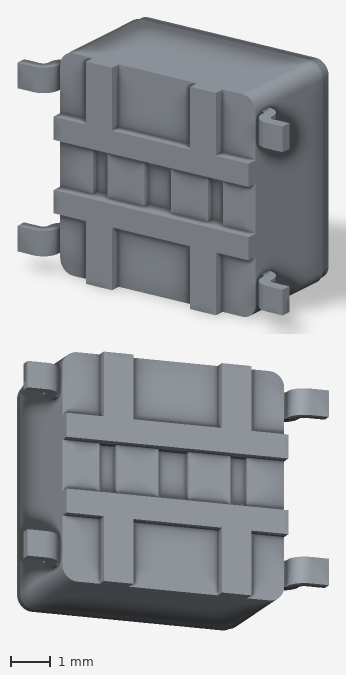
import cadquery as cq
import math


HOUSING_SIZE = 6.0
HOUSING_DEPTH = 3.0
CORNER_RADIUS = 0.4
COVER_INSET = 0.03
COVER_THICKNESS = 0.3

BUTTON_BASE_RADIUS = 1.75
BUTTON_TOP_RADIUS = 1.695
BUTTON_HEIGHT = 1.4
BUTTON_FILLET = 0.2
RIVET_RADIUS = 0.5
RIVET_OFFSET = 2.25

FOOT_HEIGHT = 0.3
BAR_INNER_Z = 0.68
BAR_OUTER_Z = 1.3
FOOT_INNER_X = 1.2
FOOT_OUTER_X = 2.0
POCKET_DEPTH = 0.2
POCKET_CENTER_HALF_WIDTH = 0.41
POCKET_SIDE_INNER_X = 1.54

LEAD_SPAN = 8.15
LEAD_WIDTH = 0.69
LEAD_THICKNESS = 0.3
LEAD_FLAT = 0.5
LEAD_INNER_RADIUS = 0.15
LEAD_RISE = 0.945
LEAD_Z = 2.2
LEAD_DROP = 0.05
LEAD_ROOT = 0.16

HALF_SIZE = HOUSING_SIZE / 2
COVER_FACE_Y = HOUSING_DEPTH + COVER_THICKNESS
SIDES = (-1, 1)
CORNERS = [(sx, sz) for sx in SIDES for sz in SIDES]


def block(x_range, y_range, z_range):
    """Box spanning the given (low, high) range on each axis."""
    ranges = (x_range, y_range, z_range)
    lengths = [high - low for low, high in ranges]
    corner = tuple(low for low, high in ranges)
    return cq.Workplane("XY").box(*lengths, centered=False).translate(corner)


def rounded_plate(size, y_start, thickness):
    """Square plate with rounded corners, growing along +Y."""
    plate = cq.Workplane("XY").box(size, thickness, size, centered=(True, False, True))
    return plate.edges("|Y").fillet(CORNER_RADIUS).translate((0, y_start, 0))


def button():
    """Tapered round button with a rounded top edge."""
    taper = math.degrees(math.atan((BUTTON_BASE_RADIUS - BUTTON_TOP_RADIUS) / BUTTON_HEIGHT))
    cone = cq.Workplane("XY").circle(BUTTON_BASE_RADIUS).extrude(BUTTON_HEIGHT, taper=taper)
    rounded = cone.faces(">Z").edges().fillet(BUTTON_FILLET)
    return rounded.rotate((0, 0, 0), (1, 0, 0), -90).translate((0, COVER_FACE_Y, 0))


def rivet(side_x, side_z):
    """Round rivet head; its inner half is buried in the cover."""
    center = (side_x * RIVET_OFFSET, COVER_FACE_Y, side_z * RIVET_OFFSET)
    return cq.Workplane("XY").sphere(RIVET_RADIUS).translate(center)


def bar(side_z):
    """Raised bar across the full width of the back face."""
    z_range = sorted((side_z * BAR_INNER_Z, side_z * BAR_OUTER_Z))
    return block((-HALF_SIZE, HALF_SIZE), (-FOOT_HEIGHT, 0), z_range)


def foot(side_x, side_z):
    """Raised foot running from a bar to the upper or lower edge."""
    x_range = sorted((side_x * FOOT_INNER_X, side_x * FOOT_OUTER_X))
    z_range = sorted((side_z * BAR_INNER_Z, side_z * HALF_SIZE))
    return block(x_range, (-FOOT_HEIGHT, 0), z_range)


def pocket(x_start, x_end):
    """Rectangular pocket between the two bars."""
    return block(sorted((x_start, x_end)), (0, POCKET_DEPTH), (-BAR_INNER_Z, BAR_INNER_Z))


def lead(side_z):
    """S-bent flat lead on the +X side, from its outer tip into the housing."""
    inner = LEAD_INNER_RADIUS
    outer = inner + LEAD_THICKNESS
    tip_x = LEAD_SPAN / 2
    lower_x = tip_x - LEAD_FLAT
    upper_x = lower_x - inner - outer
    root_x = HALF_SIZE - LEAD_ROOT
    bottom_y = -FOOT_HEIGHT - LEAD_DROP
    top_y = bottom_y + LEAD_RISE
    lower_y = bottom_y + outer
    upper_y = top_y - outer
    diagonal = math.sqrt(0.5)
    profile = (
        cq.Workplane("XY")
        .moveTo(tip_x, bottom_y)
        .lineTo(lower_x, bottom_y)
        .threePointArc(
            (lower_x - outer * diagonal, lower_y - outer * diagonal),
            (lower_x - outer, lower_y),
        )
        .lineTo(upper_x + inner, upper_y)
        .threePointArc(
            (upper_x + inner * diagonal, upper_y + inner * diagonal),
            (upper_x, upper_y + inner),
        )
        .lineTo(root_x, upper_y + inner)
        .lineTo(root_x, top_y)
        .lineTo(upper_x, top_y)
        .threePointArc(
            (upper_x + outer * diagonal, upper_y + outer * diagonal),
            (upper_x + outer, upper_y),
        )
        .lineTo(lower_x - inner, lower_y)
        .threePointArc(
            (lower_x - inner * diagonal, lower_y - inner * diagonal),
            (lower_x, lower_y - inner),
        )
        .lineTo(tip_x, bottom_y + LEAD_THICKNESS)
        .close()
    )
    return profile.extrude(LEAD_WIDTH / 2, both=True).translate((0, 0, side_z * LEAD_Z))


result = rounded_plate(HOUSING_SIZE, 0, HOUSING_DEPTH)
result = result.union(rounded_plate(HOUSING_SIZE - 2 * COVER_INSET, HOUSING_DEPTH, COVER_THICKNESS))
result = result.union(button())

for corner_x, corner_z in CORNERS:
    result = result.union(rivet(corner_x, corner_z))
    result = result.union(foot(corner_x, corner_z))

for side in SIDES:
    result = result.union(bar(side))
    right_lead = lead(side)
    result = result.union(right_lead).union(right_lead.mirror("YZ"))

result = result.cut(pocket(-POCKET_CENTER_HALF_WIDTH, POCKET_CENTER_HALF_WIDTH))
for side in SIDES:
    result = result.cut(pocket(side * POCKET_SIDE_INNER_X, side * FOOT_OUTER_X))